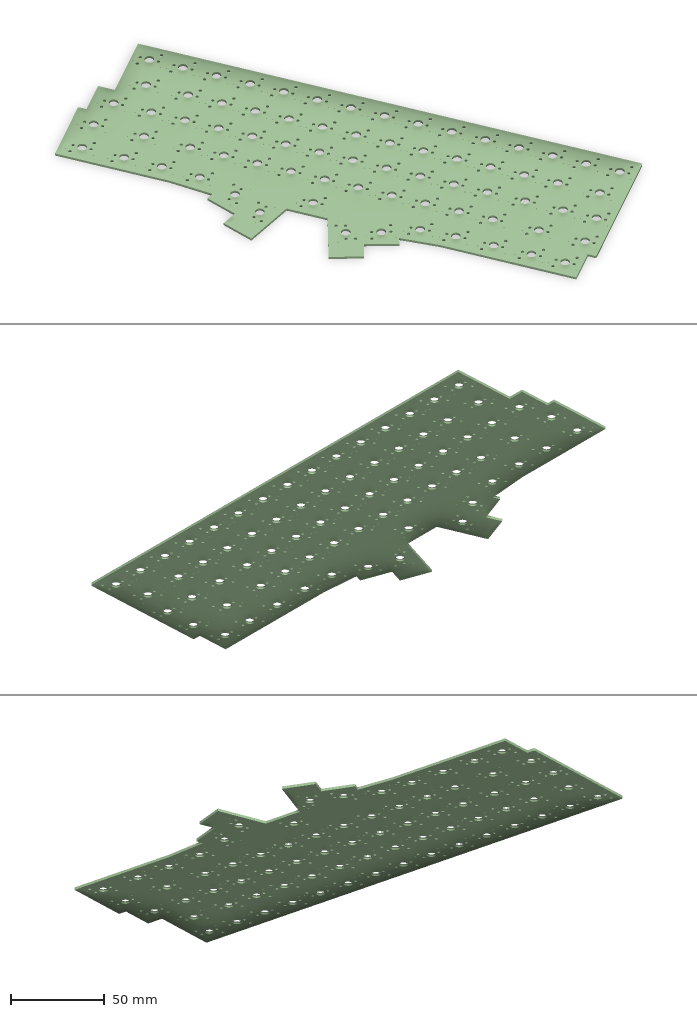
import cadquery as cq
import math


length = 299.5
depth = 123.0
thickness = 1.5

last_column = 14
top_row_span = 266.0
key_pitch = top_row_span / last_column
half_pitch = key_pitch / 2
quarter_pitch = key_pitch / 4
edge_to_key = 9.5
corner_radius = 1.0

left_edge = -length / 2
right_edge = length / 2
top_edge = depth / 2
bottom_edge = -depth / 2

last_column_x = right_edge - edge_to_key
first_column_x = last_column_x - top_row_span
first_row_y = top_edge - edge_to_key

stem_hole = 5.0
peg_hole = 1.7
pin_hole = 1.8
via_hole = 0.5
peg_offset = 5.0
pin_offset = 5.0
right_via = (7.8, -4.2)
left_via = (-8.0, -3.5)
footprint = [
    (stem_hole, 0, 0),
    (peg_hole, -peg_offset, 0),
    (peg_hole, peg_offset, 0),
    (pin_hole, pin_offset, pin_offset),
    (pin_hole, -pin_offset, -pin_offset),
    (via_hole, *right_via),
    (via_hole, *left_via),
]

key_rows = [
    list(range(last_column + 1)),
    [0.25] + [1.5 + i for i in range(12)] + [13.75],
    [-0.375] + [0.75 + i for i in range(11)] + [11.875, 13, 14],
    [-0.625, 0.875] + [2.25 + i for i in range(10)] + [12.625, 14],
    [-0.625, 0.625, 1.75, 6.25, 10.5, 11.625, 12.75, 13.75],
]

splay = 20
slight_tilt = 5
quarter_turn = 90
wide_key = key_pitch + quarter_pitch
tilted_patch = 1.5 * key_pitch
long_key = 2 * key_pitch
left_middle_shift = key_pitch / 8
left_thumb_x = -31.5
right_thumb_x = 17.0
tilted_key_y = -25.2
left_tilted_x = -70.7
right_tilted_x = 54.0


def rotated(x, y, angle):
    """Turn a point about the origin by an angle in degrees."""
    c = math.cos(math.radians(angle))
    s = math.sin(math.radians(angle))
    return x * c - y * s, x * s + y * c


def beside(x, y, along, across, angle):
    """Point reached from (x, y) by moving along and across a direction turned by the angle."""
    dx, dy = rotated(along, across, angle)
    return x + dx, y + dy


def row_band(left, right, first_row, end_row):
    """Straight block of plate covering the rows from first_row up to, but not including, end_row."""
    band_top = top_edge - first_row * key_pitch
    band_depth = (end_row - first_row) * key_pitch
    return (
        cq.Workplane("XY")
        .box(right - left, band_depth, thickness, centered=False)
        .translate((left, band_top - band_depth, 0))
    )


def key_patch(x, y, width, height, angle):
    """Turned rectangle of plate below one thumb key."""
    return (
        cq.Workplane("XY")
        .rect(width, height)
        .extrude(thickness)
        .rotate((0, 0, 0), (0, 0, 1), angle)
        .translate((x, y, 0))
    )


corner_drop = -rotated(half_pitch, -long_key / 2, -splay)[1]
thumb_y = bottom_edge + corner_drop

left_thumb = (left_thumb_x, thumb_y)
right_thumb = (right_thumb_x, thumb_y)
left_middle = beside(*left_thumb, -key_pitch, left_middle_shift, -splay)
right_middle = beside(*right_thumb, key_pitch, 0, splay)
left_tilted = (left_tilted_x, tilted_key_y)
right_tilted = (right_tilted_x, tilted_key_y)

upper_left = left_edge + 3 * quarter_pitch
middle_left = left_edge + quarter_pitch
lower_right = right_edge - quarter_pitch
row_count = len(key_rows)
first_middle_row = 2
first_lower_row = 3

plate = row_band(upper_left, right_edge, 0, row_count - 1).edges("|Z and >X").fillet(corner_radius)
plate = plate.union(row_band(middle_left, lower_right, first_middle_row, row_count))
plate = plate.union(row_band(left_edge, lower_right, first_lower_row, row_count))

patches = [
    (left_tilted, tilted_patch, key_pitch, -slight_tilt),
    (left_middle, key_pitch, wide_key, -splay),
    (left_thumb, key_pitch, long_key, -splay),
    (right_tilted, tilted_patch, key_pitch, slight_tilt),
    (right_middle, key_pitch, key_pitch, splay),
    (right_thumb, key_pitch, long_key, splay),
]
for (x, y), width, height, angle in patches:
    plate = plate.union(key_patch(x, y, width, height, angle))
plate = plate.clean()

switches = [
    (first_column_x + column * key_pitch, first_row_y - row * key_pitch, 0)
    for row, columns in enumerate(key_rows)
    for column in columns
]
switches += [
    (*left_tilted, -slight_tilt),
    (*left_middle, quarter_turn - splay),
    (*left_thumb, quarter_turn - splay),
    (*right_tilted, slight_tilt),
    (*right_middle, splay),
    (*right_thumb, splay - quarter_turn),
]

for diameter, along, across in footprint:
    centres = [beside(x, y, along, across, angle) for x, y, angle in switches]
    drills = cq.Workplane("XY").pushPoints(centres).circle(diameter / 2).extrude(thickness)
    plate = plate.cut(drills)

result = plate.solids()